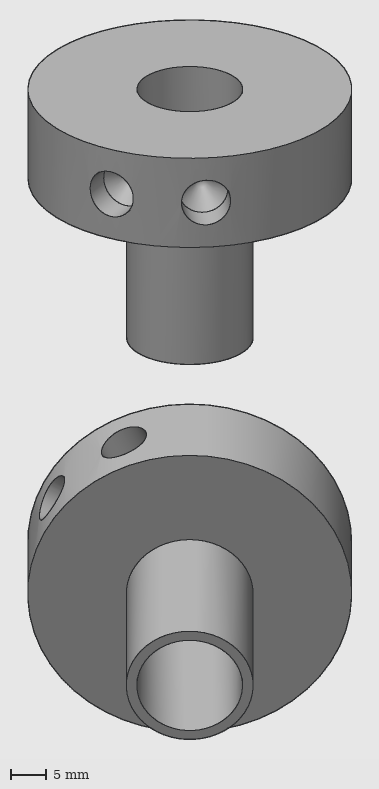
import cadquery as cq
import math

collar_diameter = 46.0
collar_thickness = 14.0
collar_radius = collar_diameter / 2

bore_diameter = 15.0
sleeve_diameter = 18.0
sleeve_length = 25.0

rim_hole_radius = 3.5
rim_hole_depth = 4.2
rim_hole_angles = (10.0, 45.0)
drill_tip_angle = 90.0
drill_tip_length = rim_hole_radius / math.tan(math.radians(drill_tip_angle / 2))

collar_bottom = sleeve_length
rim_hole_height = collar_bottom + collar_thickness / 2


def ring(outer_diameter, length, bottom):
    """Bored cylinder standing on the height `bottom`."""
    return (
        cq.Workplane("XY", origin=(0, 0, bottom))
        .circle(outer_diameter / 2)
        .circle(bore_diameter / 2)
        .extrude(length)
    )


def rim_drill(angle):
    """Drill with a conical tip, entering the rim radially at `angle`."""
    floor = collar_radius - rim_hole_depth
    tip = floor - drill_tip_length
    return (
        cq.Workplane("YZ")
        .moveTo(-tip, 0)
        .lineTo(-floor, rim_hole_radius)
        .lineTo(-collar_diameter, rim_hole_radius)
        .lineTo(-collar_diameter, 0)
        .close()
        .revolve(360, (0, 0, 0), (1, 0, 0))
        .translate((0, 0, rim_hole_height))
        .rotate((0, 0, 0), (0, 0, 1), angle)
    )


collar = ring(collar_diameter, collar_thickness, collar_bottom)
for hole_angle in rim_hole_angles:
    collar = collar.cut(rim_drill(hole_angle))

sleeve = ring(sleeve_diameter, sleeve_length, 0)

result = cq.Compound.makeCompound([collar.val(), sleeve.val()])